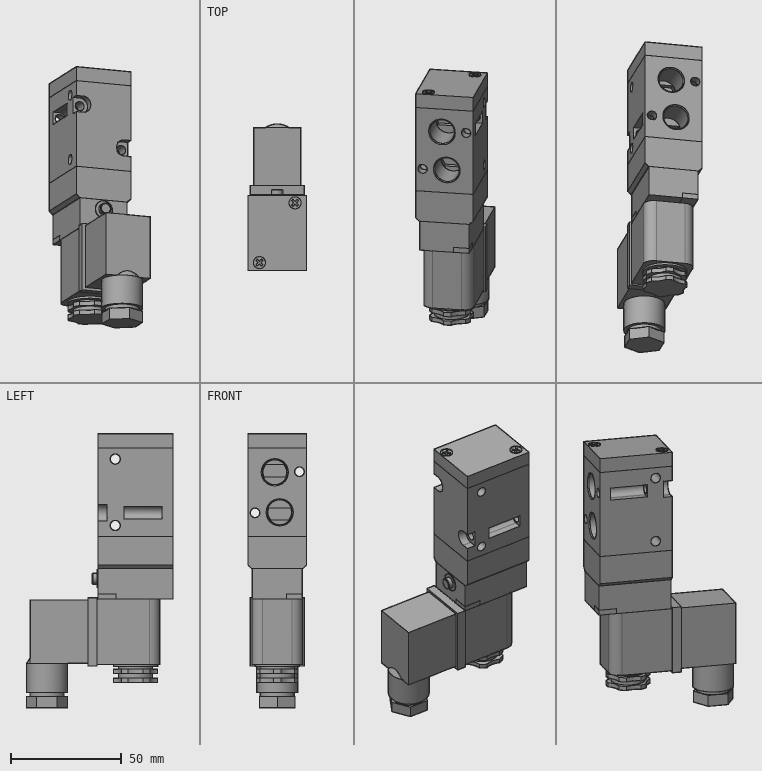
import cadquery as cq
import math


valve_width = 26.5
valve_depth = 33.9
valve_top = 123.8
cap_height = 6.5
body_height = 39.9
adapter_height = 14.5
pilot_height = 13.9
body_top = valve_top - cap_height
body_bottom = body_top - body_height
body_middle = (body_top + body_bottom) / 2
adapter_bottom = body_bottom - adapter_height
pilot_bottom = adapter_bottom - pilot_height

screw_x = 8.0
screw_y_front = 3.6
screw_y_back = 30.6
screw_head_diameter = 5.5
screw_recess_depth = 0.4
cross_length = 3.6
cross_width = 0.9
cross_depth = 0.7
cross_angle = 45

port_x = 1.1
port_z = 9.0
port_diameter = 11.3
port_depth = 14.9
port_chamfer = 0.5
channel_z = 9.8
channel_height = 5.6
channel_span = 10.6
channel_depth = 2.5

mount_x = 10.0
mount_z = 9.3
mount_diameter = 4.2
slot_height = 5.7
slot_front = 5.0
slot_back = 22.2
notch_height = 7.5
notch_depth = 4.1

cross_hole_y = 26.1
cross_hole_z = 15.0
cross_hole_diameter = 4.5

adapter_chamfer = 1.6
pilot_width = 22.8
button_z = 58.3
button_diameter = 5.1
button_length = 2.7
button_chamfer = 0.4
button_disc_diameter = 8.2
button_disc_thickness = 0.4

coil_width = 22.9
coil_front = 6.0
coil_back = valve_depth + button_disc_thickness
coil_bottom = 19.5
coil_radius = 4.8
ear_width = 7.2
ear_depth = 8.2
ear_height = 2.4

nut_y = 17.0
collar_diameter = 20.0
collar_height = 1.0
nut_neck_diameter = 15.5
nut_bottom = 11.4
nut_plate_thickness = 2.0
nut_plate_count = 2
nut_plate_pitch = 4.1
nut_plate_radius = 10.0
nut_waist_radius = 8.7
lobe_count = 6
lobe_half_angle = 10.0

flange_width = 24.4
flange_thickness = 4.2
flange_bottom = 18.8
flange_top = 49.8
connector_width = 21.4
connector_back = 64.5
connector_bottom = 20.0
connector_top = 48.8

gland_y = 57.0
gland_diameter = 18.6
gland_bottom = 6.9
gland_neck_diameter = 15.5
gland_nut_height = 5.2
gland_nut_corners = 18.6
shoulder_height = 2.6


def block(width, y_front, y_back, z_bottom, z_top):
    """Box centred on X = 0 between the given Y and Z limits."""
    return cq.Workplane("XY").box(
        width, y_back - y_front, z_top - z_bottom, centered=(True, False, False)
    ).translate((0, y_front, z_bottom))


def upright_cylinder(y, diameter, z_bottom, z_top):
    """Vertical cylinder on X = 0."""
    return cq.Workplane("XY", origin=(0, y, z_bottom)).circle(diameter / 2).extrude(z_top - z_bottom)


def cylinder_along_y(x, z, diameter, y_front, y_back):
    """Horizontal cylinder between two Y positions."""
    start = cq.Plane(origin=(x, y_front, z), xDir=(1, 0, 0), normal=(0, 1, 0))
    return cq.Workplane(start).circle(diameter / 2).extrude(y_back - y_front)


def side_slot(side, z, height, y_front, y_back):
    """Slot open to one side face, its inner end rounded about the mounting hole."""
    open_length = valve_width / 2 - mount_x
    straight = cq.Workplane("XY").box(
        open_length, y_back - y_front, height, centered=(True, False, True)
    ).translate((side * (mount_x + open_length / 2), y_front, z))
    return straight.union(cylinder_along_y(side * mount_x, z, height, y_front, y_back))


def make_cap():
    """End cap with two sunk screw heads, each marked with a diagonal cross recess."""
    cap = block(valve_width, 0, valve_depth, body_top, valve_top)
    recess_floor = valve_top - screw_recess_depth
    for x, y in [(-screw_x, screw_y_front), (screw_x, screw_y_back)]:
        recess = cq.Workplane("XY", origin=(x, y, valve_top)).circle(screw_head_diameter / 2)
        cap = cap.cut(recess.extrude(-screw_recess_depth))
        for angle in (cross_angle, -cross_angle):
            arm = cq.Workplane("XY", origin=(x, y, recess_floor)).transformed(rotate=(0, 0, angle))
            cap = cap.cut(arm.rect(cross_length, cross_width).extrude(-cross_depth))
    return cap


def port_cutter(side):
    """Chamfered blind bore with a round-ended horizontal channel in its floor."""
    x = side * port_x
    z = body_middle - side * port_z
    bore = cylinder_along_y(x, z, port_diameter, 0, port_depth)
    mouth = cq.Solid.makeCone(
        port_diameter / 2 + port_chamfer, port_diameter / 2, port_chamfer,
        pnt=cq.Vector(x, 0, z), dir=cq.Vector(0, 1, 0),
    )
    channel_middle = body_middle - side * channel_z
    channel_end = port_depth + channel_depth
    channel = block(
        valve_width, port_depth, channel_end,
        channel_middle - channel_height / 2, channel_middle + channel_height / 2,
    ).intersect(cylinder_along_y(x, z, channel_span, port_depth, channel_end))
    return bore.union(mouth).union(channel)


def make_valve_body():
    """Body whose port-side features repeat after half a turn about the Y direction."""
    body = block(valve_width, 0, valve_depth, body_bottom, body_top)
    for side in (-1, 1):
        z = body_middle + side * mount_z
        body = body.cut(port_cutter(side))
        body = body.cut(cylinder_along_y(side * mount_x, z, mount_diameter, 0, valve_depth))
        body = body.cut(side_slot(side, z, slot_height, slot_front, slot_back))
        body = body.cut(side_slot(side, z, notch_height, valve_depth - notch_depth, valve_depth))
        hole_start = (-valve_width / 2, cross_hole_y, body_middle + side * cross_hole_z)
        cross_hole = cq.Workplane("YZ", origin=hole_start).circle(cross_hole_diameter / 2)
        body = body.cut(cross_hole.extrude(valve_width))
    return body


def make_adapter():
    """Adapter plate with its two lower side edges chamfered."""
    adapter = block(valve_width, 0, valve_depth, adapter_bottom, body_bottom)
    return adapter.faces("<Z").edges("|Y").chamfer(adapter_chamfer)


def make_ears():
    """Two blocks at diagonally opposite corners, under the pilot block."""
    ear_x = (pilot_width - ear_width) / 2
    ear_y = (valve_depth - ear_depth) / 2
    ears = cq.Workplane("XY", origin=(0, valve_depth / 2, pilot_bottom))
    return ears.pushPoints([(ear_x, -ear_y), (-ear_x, ear_y)]).rect(ear_width, ear_depth).extrude(ear_height)


def make_pilot_block():
    """Pilot block with an override button and its thin disc on the back face."""
    pilot = block(pilot_width, 0, valve_depth, pilot_bottom, adapter_bottom).cut(make_ears())
    disc = cylinder_along_y(0, button_z, button_disc_diameter, valve_depth, coil_back)
    button = cylinder_along_y(0, button_z, button_diameter, valve_depth, valve_depth + button_length)
    button = button.faces(">Y").chamfer(button_chamfer)
    return pilot.union(disc).union(button)


def nut_plate(z_bottom):
    """Lobed plate: short outer arcs joined by hollow arcs."""

    def rim_point(radius, degrees):
        angle = math.radians(degrees)
        return (radius * math.cos(angle), radius * math.sin(angle))

    lobe_pitch = 360 / lobe_count
    first_lobe = lobe_pitch / 2
    outline = cq.Workplane("XY", origin=(0, nut_y, z_bottom))
    outline = outline.moveTo(*rim_point(nut_plate_radius, first_lobe - lobe_half_angle))
    for lobe in range(lobe_count):
        middle = first_lobe + lobe * lobe_pitch
        outline = outline.threePointArc(
            rim_point(nut_plate_radius, middle),
            rim_point(nut_plate_radius, middle + lobe_half_angle),
        )
        outline = outline.threePointArc(
            rim_point(nut_waist_radius, middle + lobe_pitch / 2),
            rim_point(nut_plate_radius, middle + lobe_pitch - lobe_half_angle),
        )
    return outline.close().extrude(nut_plate_thickness)


def make_coil():
    """Coil block with two rounded front corners, and the ears that fill the pilot block's notches."""
    coil = block(coil_width, coil_front, coil_back, coil_bottom, pilot_bottom)
    coil = coil.faces("<Y").edges("|Z").fillet(coil_radius)
    return coil.union(make_ears())


def make_coil_nut():
    """Collar and neck carrying two lobed plates."""
    nut = upright_cylinder(nut_y, collar_diameter, coil_bottom - collar_height, coil_bottom)
    nut = nut.union(upright_cylinder(nut_y, nut_neck_diameter, nut_bottom, coil_bottom))
    for level in range(nut_plate_count):
        nut = nut.union(nut_plate(nut_bottom + level * nut_plate_pitch))
    return nut


def make_gland():
    """Hexagon nut, neck and barrel, with a conical shoulder running into the connector."""
    nut = cq.Workplane("XY", origin=(0, gland_y, 0)).transformed(rotate=(0, 0, 90))
    gland = nut.polygon(6, gland_nut_corners).extrude(gland_nut_height)
    gland = gland.union(upright_cylinder(gland_y, gland_neck_diameter, gland_nut_height, gland_bottom))
    gland = gland.union(upright_cylinder(gland_y, gland_diameter, gland_bottom, connector_bottom))
    shoulder = cq.Solid.makeCone(
        gland_diameter / 2, connector_back - gland_y, shoulder_height,
        pnt=cq.Vector(0, gland_y, connector_bottom),
    )
    return gland.union(shoulder)


def make_solenoid():
    """Coil, coil nut, plug connector and cable gland in one piece."""
    flange_back = coil_back + flange_thickness
    flange = block(flange_width, coil_back, flange_back, flange_bottom, flange_top)
    connector = block(connector_width, flange_back, connector_back, connector_bottom, connector_top)
    return make_coil().union(make_coil_nut()).union(flange).union(connector).union(make_gland())


cap = make_cap()
valve_body = make_valve_body()
adapter = make_adapter()
pilot_block = make_pilot_block()
solenoid = make_solenoid()

bodies = [cap, valve_body, adapter, pilot_block, solenoid]
result = cq.Compound.makeCompound([body.solids().val() for body in bodies])